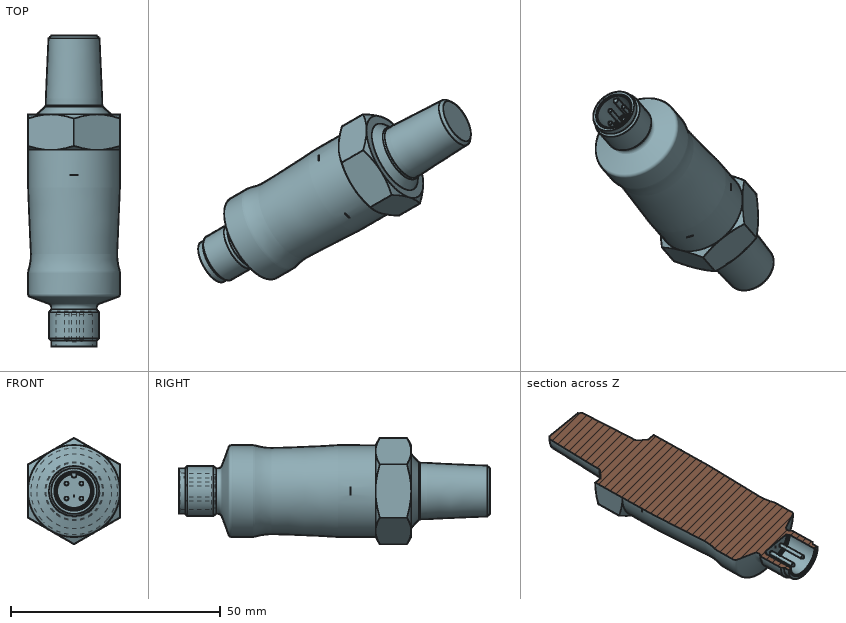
import cadquery as cq
import math

length = 74.4

collar_dia = 10.9
collar_end = 1.5
thread_dia = 12.0
thread_start = 2.0
thread_end = 8.25
undercut_start = 8.9
neck_fillet_start = 9.4
neck_fillet_end = 10.2
neck_fillet_dia = 11.8

body_dia = 22.0
shoulder_cone_dia = 20.7
shoulder_cone_end = 11.8
shoulder_round_end = 12.8
ring_end = 17.7
ring_edge_dia = 21.9
ring_edge_end = 18.15
waist_dia = 20.7
waist_start = 22.2
taper_end = 38.0

hex_start = 47.0
hex_end = 55.5
hex_flats = body_dia
hex_turn = 30.0
hex_chamfer_angle = 30.0

flare_dia = 17.85
root_dia = 13.55
root_round = 0.45
root_start = 57.3
taper_thread_start = 59.3
tip_dia = 12.3
tip_chamfer = 0.75

socket_floor_dia = 8.0
socket_depth = 8.55
socket_steps = [(9.45, 0.2), (8.7, 7.8), (8.4, 8.2)]

pin_dia = 1.0
pin_tip_dia = 0.9
pin_circle_dia = 5.05
pin_count = 4
pin_front = 1.35
key_dia = 1.2
key_offset = 3.8
key_front = 1.2

root_overlap = 0.4

mark_length = 1.8
mark_width = 0.15
mark_depth = 0.1
mark_position = 41.0
mark_count = 4
floor_mark_width = 0.15
floor_mark_height = 0.4
floor_mark_offset = 1.2


def cylinder(dia, start, end, x=0.0, z=0.0):
    """Cylinder parallel to Y, from Y = start to Y = end."""
    return cq.Workplane("XY").add(
        cq.Solid.makeCylinder(dia / 2, end - start, cq.Vector(x, start, z), cq.Vector(0, 1, 0))
    )


def make_body():
    """Turned outline of the whole part, without the hexagon."""
    flare_run = waist_start - ring_edge_end
    flare_rise = (ring_edge_dia - waist_dia) / 2
    flare_radius = (flare_run**2 + flare_rise**2) / (2 * flare_rise)
    half_angle = math.asin(flare_run / flare_radius) / 2
    flare_mid = (
        waist_dia / 2 + flare_radius * (1 - math.cos(half_angle)),
        waist_start - flare_radius * math.sin(half_angle),
    )
    round_drop = (body_dia - shoulder_cone_dia) / 2
    round_rise = shoulder_round_end - shoulder_cone_end
    shoulder_mid = (
        body_dia / 2 - round_drop * (1 - math.sqrt(0.5)),
        shoulder_round_end - round_rise * math.sqrt(0.5),
    )
    outline = (
        cq.Workplane("XY")
        .moveTo(0, 0)
        .lineTo(collar_dia / 2, 0)
        .lineTo(collar_dia / 2, collar_end)
        .lineTo(thread_dia / 2, thread_start)
        .lineTo(thread_dia / 2, thread_end)
        .lineTo(collar_dia / 2, undercut_start)
        .lineTo(collar_dia / 2, neck_fillet_start)
        .tangentArcPoint((neck_fillet_dia / 2, neck_fillet_end), relative=False)
        .lineTo(shoulder_cone_dia / 2, shoulder_cone_end)
        .threePointArc(shoulder_mid, (body_dia / 2, shoulder_round_end))
        .lineTo(body_dia / 2, ring_end)
        .lineTo(ring_edge_dia / 2, ring_edge_end)
        .threePointArc(flare_mid, (waist_dia / 2, waist_start))
        .lineTo(body_dia / 2, taper_end)
        .lineTo(body_dia / 2, hex_end)
        .lineTo(flare_dia / 2, hex_end)
        .lineTo(root_dia / 2 + root_round / 2, root_start)
        .lineTo(root_dia / 2, root_start + root_round)
        .lineTo(root_dia / 2, taper_thread_start)
        .lineTo(tip_dia / 2, length - tip_chamfer)
        .lineTo(tip_dia / 2 - tip_chamfer, length)
        .lineTo(0, length)
        .close()
    )
    return outline.revolve(360, (0, 0, 0), (0, 1, 0))


def make_hexagon():
    """Hexagon whose corners are turned down by a cone at both ends."""
    corner_radius = hex_flats / 2 / math.cos(math.pi / 6)
    chamfer_length = (corner_radius - hex_flats / 2) * math.tan(math.radians(hex_chamfer_angle))
    prism = (
        cq.Workplane("XZ", origin=(0, hex_start, 0))
        .polygon(6, 2 * corner_radius)
        .extrude(hex_start - hex_end)
        .rotate((0, 0, 0), (0, 1, 0), hex_turn)
    )
    envelope = (
        cq.Workplane("XY")
        .moveTo(0, hex_start)
        .lineTo(hex_flats / 2, hex_start)
        .lineTo(corner_radius, hex_start + chamfer_length)
        .lineTo(corner_radius, hex_end - chamfer_length)
        .lineTo(hex_flats / 2, hex_end)
        .lineTo(0, hex_end)
        .close()
        .revolve(360, (0, 0, 0), (0, 1, 0))
    )
    return prism.intersect(envelope)


def make_socket():
    """Stepped bore of the connector."""
    socket = cylinder(socket_floor_dia, 0, socket_depth)
    for step_dia, step_depth in socket_steps:
        socket = socket.union(cylinder(step_dia, 0, step_depth))
    return socket


def make_pin(angle):
    """Contact pin with a slightly thinner, hemispherical tip, rooted in the socket floor."""
    x = pin_circle_dia / 2 * math.cos(angle)
    z = pin_circle_dia / 2 * math.sin(angle)
    shank_front = pin_front + pin_tip_dia / 2
    shank = cylinder(pin_dia, shank_front, socket_depth + root_overlap, x, z)
    tip = cq.Workplane("XY").sphere(pin_tip_dia / 2).translate((x, shank_front, z))
    return shank.union(tip)


def make_key():
    """Coding rib with a round crest along the top of the socket wall."""
    crest = cylinder(key_dia, key_front, socket_depth + root_overlap, z=key_offset)
    web_height = collar_dia / 2 - key_offset - root_overlap / 2
    web_length = socket_depth + root_overlap - key_front
    web = cq.Workplane("XY").box(key_dia, web_length, web_height, centered=(True, False, False))
    return crest.union(web.translate((0, key_front, key_offset)))


def make_side_mark(angle):
    """Short shallow groove across the housing."""
    groove = cq.Workplane("XY").box(mark_length, mark_width, 2 * mark_depth)
    return groove.translate((0, mark_position, body_dia / 2)).rotate((0, 0, 0), (0, 1, 0), angle)


def make_floor_mark():
    """Small shallow recess in the socket floor."""
    recess = cq.Workplane("XY").box(floor_mark_width, 2 * mark_depth, floor_mark_height)
    return recess.translate((0, socket_depth, -floor_mark_offset))


result = make_body().union(make_hexagon()).cut(make_socket()).union(make_key())
for i in range(pin_count):
    result = result.union(make_pin(math.pi / 4 + i * 2 * math.pi / pin_count))
for i in range(mark_count):
    result = result.cut(make_side_mark(i * 360 / mark_count))
result = result.cut(make_floor_mark())